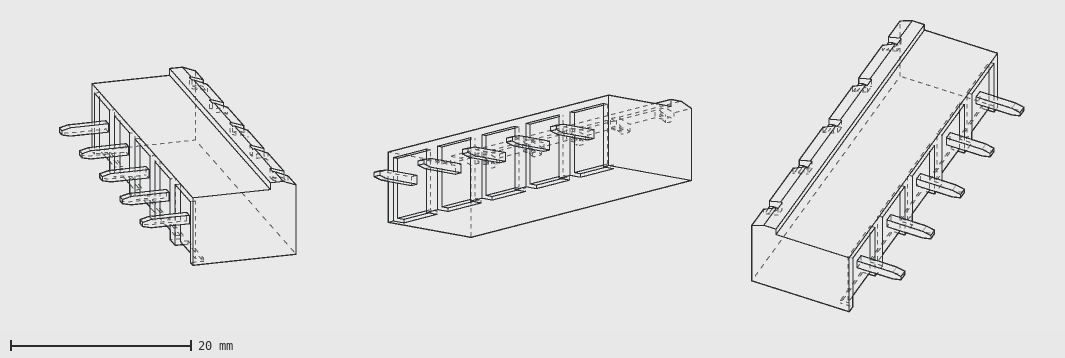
import cadquery as cq
import math

pole_count = 5
pole_pitch = 7.62
body_length = 38.04
body_depth = 12.0
body_height = 8.0

ridge_height = 0.8
ridge_depth = 3.0
ridge_bevel_depth = 1.5
ridge_bevel_drop = 0.6
ridge_top = body_height + ridge_height

pocket_width = 5.7
pocket_height = 7.2
pocket_depth = 0.6
undercut_height = 0.4
undercut_depth = 1.5

pin_size = 1.0
pin_length = 4.8
pin_axis_height = 4.2
pin_taper_length = 1.0
pin_tip_height = 0.5

notch_front_width = 1.03
notch_rear_width = 1.5
notch_front_inset = 1.7
notch_front_wall_height = 1.0
notch_ramp_foot_inset = 1.03
notch_ramp_angle = 17.0
notch_flare_inset = 0.57
notch_flare_angle = 30.0
notch_floor_radius = 3.0

rear_y = body_depth
notch_ramp_top = ridge_top - notch_front_wall_height
notch_ramp_drop = (notch_front_inset - notch_ramp_foot_inset) * math.tan(math.radians(notch_ramp_angle))
notch_floor = notch_ramp_top - notch_ramp_drop
notch_flare_drop = notch_flare_inset * math.tan(math.radians(notch_flare_angle))
notch_bottom = notch_floor - notch_flare_drop
pole_positions = [(i - (pole_count - 1) / 2) * pole_pitch for i in range(pole_count)]


def side_extrusion(points, width, x_center):
    """Extrude a (Y, Z) outline along X, centred on x_center."""
    centred = cq.Workplane("YZ").polyline(points).close().extrude(width / 2, both=True)
    return centred.translate((x_center, 0, 0))


def make_body():
    outline = [
        (0, 0),
        (rear_y, 0),
        (rear_y, ridge_top - ridge_bevel_drop),
        (rear_y - ridge_bevel_depth, ridge_top),
        (rear_y - ridge_depth, ridge_top),
        (rear_y - ridge_depth, body_height),
        (0, body_height),
    ]
    return side_extrusion(outline, body_length, 0)


def make_pocket(x):
    """Front recess whose back wall steps further in along the underside."""
    outline = [
        (0, 0),
        (undercut_depth, 0),
        (undercut_depth, undercut_height),
        (pocket_depth, undercut_height),
        (pocket_depth, pocket_height),
        (0, pocket_height),
    ]
    return side_extrusion(outline, pocket_width, x)


def make_pin(x):
    """Square pin rooted in the pocket wall, tapered in height at its tip."""
    half = pin_size / 2
    half_tip = pin_tip_height / 2
    taper_y = pin_taper_length - pin_length
    outline = [
        (pocket_depth, pin_axis_height - half),
        (taper_y, pin_axis_height - half),
        (-pin_length, pin_axis_height - half_tip),
        (-pin_length, pin_axis_height + half_tip),
        (taper_y, pin_axis_height + half),
        (pocket_depth, pin_axis_height + half),
    ]
    return side_extrusion(outline, pin_size, x)


def make_floor_cylinder(x, slope):
    """Cylinder whose lowest line is the notch floor, sloping down to the rear from the flare line."""
    flare_y = rear_y - notch_flare_inset
    cylinder = (
        cq.Workplane("XZ", origin=(x, flare_y, notch_floor + notch_floor_radius))
        .circle(notch_floor_radius)
        .extrude(notch_floor_radius, both=True)
    )
    return cylinder.rotate((x, flare_y, notch_floor), (x + 1, flare_y, notch_floor), -slope)


def make_notch(x):
    """Tapered slot whose hollow floor is ramped at the front and flares down at the rear."""
    front_y = rear_y - notch_front_inset
    slot = (
        cq.Workplane("XY", origin=(x, 0, notch_bottom))
        .polyline([
            (-notch_front_width / 2, front_y),
            (notch_front_width / 2, front_y),
            (notch_rear_width / 2, rear_y),
            (-notch_rear_width / 2, rear_y),
        ])
        .close()
        .extrude(ridge_top - notch_bottom)
    )
    ramp_side = [
        (rear_y, notch_bottom),
        (rear_y - notch_flare_inset, notch_floor),
        (rear_y - notch_ramp_foot_inset, notch_floor),
        (front_y, notch_ramp_top),
        (front_y, ridge_top),
        (rear_y, ridge_top),
    ]
    ramp = side_extrusion(ramp_side, notch_rear_width, x)
    hollow_floor = make_floor_cylinder(x, 0).union(make_floor_cylinder(x, notch_flare_angle))
    return slot.intersect(ramp).intersect(hollow_floor)


result = make_body()
for x in pole_positions:
    result = result.cut(make_pocket(x)).union(make_pin(x)).cut(make_notch(x))